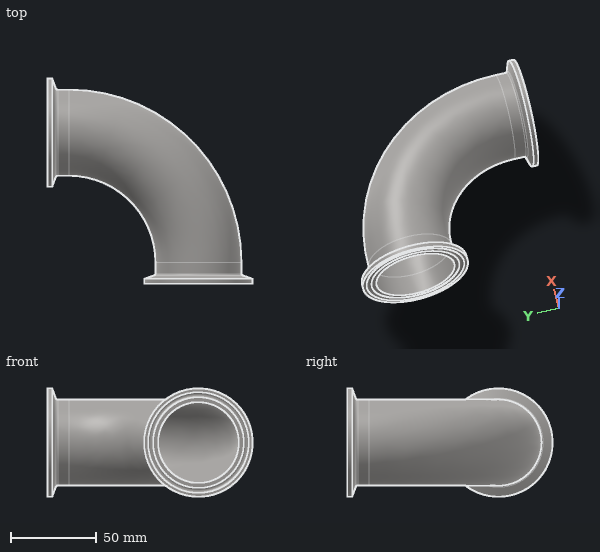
import math

import cadquery as cq

overall_length = 120.8
tube_diameter = 50.8
bore_diameter = 47.5
straight_length = 12.7

flange_diameter = 63.9
rim_width = 2.9
taper_angle = 20.0
neck_fillet = 1.1

groove_mean_diameter = 56.3
groove_width = 2.9
groove_depth = 1.0

tube_radius = tube_diameter / 2
bore_radius = bore_diameter / 2
flange_radius = flange_diameter / 2
groove_mean_radius = groove_mean_diameter / 2
groove_inner_radius = groove_mean_radius - groove_width / 2
groove_outer_radius = groove_mean_radius + groove_width / 2

center_to_face = overall_length - flange_radius
bend_radius = center_to_face - straight_length

taper = math.radians(taper_angle)
neck_corner = rim_width + (flange_radius - tube_radius) * math.tan(taper)
neck_tangent_length = neck_fillet * math.tan((math.pi / 2 - taper) / 2)
neck_end = neck_corner + neck_tangent_length
neck_center_radius = tube_radius + neck_fillet


def neck_point(angle):
    """Point on the neck fillet, with the angle measured from its tangent point on the tube."""
    return (
        neck_end - neck_fillet * math.sin(angle),
        neck_center_radius - neck_fillet * math.cos(angle),
    )


def ferrule():
    """Flanged tube end about the X axis, with its sealing face at X = 0 and tube toward +X."""
    fillet_sweep = math.pi / 2 - taper
    profile = (
        cq.Workplane("XY")
        .moveTo(0, bore_radius)
        .lineTo(0, groove_inner_radius)
        .threePointArc((groove_depth, groove_mean_radius), (0, groove_outer_radius))
        .lineTo(0, flange_radius)
        .lineTo(rim_width, flange_radius)
        .lineTo(*neck_point(fillet_sweep))
        .threePointArc(neck_point(fillet_sweep / 2), (neck_end, tube_radius))
        .lineTo(straight_length, tube_radius)
        .lineTo(straight_length, bore_radius)
        .close()
    )
    return profile.revolve(360, (0, 0, 0), (1, 0, 0))


def bend():
    """Quarter-turn tube that leaves the first ferrule along +X and curves round to -Y."""
    return (
        cq.Workplane("YZ", origin=(straight_length, 0, 0))
        .circle(tube_radius)
        .circle(bore_radius)
        .revolve(90, (-bend_radius, 1.2, 0), (-bend_radius, 0, 0))
    )


inlet = ferrule()
outlet = ferrule().rotate((0, 0, 0), (0, 0, 1), 90).translate((center_to_face, -center_to_face, 0))

result = bend().union(inlet).union(outlet)